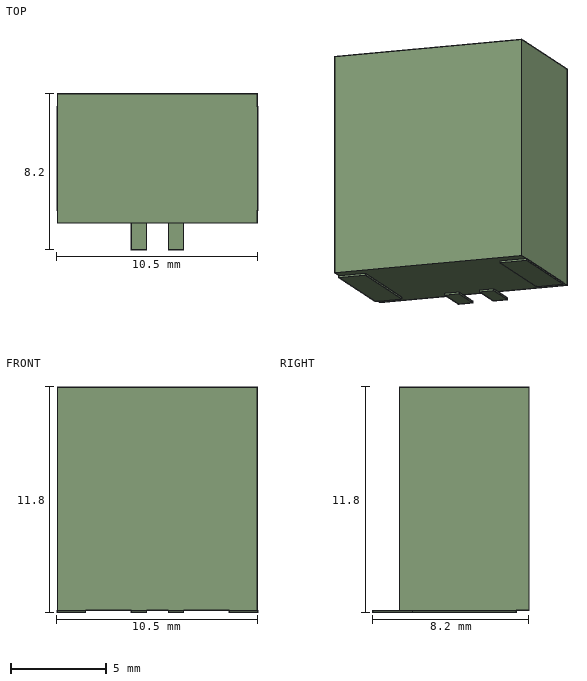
import cadquery as cq

overall_width = 10.53
overall_depth = 8.2
overall_height = 11.8

housing_width = 10.48
housing_depth = 6.8
foil_thickness = 0.1
housing_height = overall_height - foil_thickness

pad_width = 1.5
pad_depth = 5.45
pad_center_x = (overall_width - pad_width) / 2

lead_width = 0.8
lead_pitch = 1.95
lead_overhang = overall_depth - housing_depth
lead_engagement = (housing_depth - pad_depth) / 2
lead_length = lead_overhang + lead_engagement
lead_center_y = -housing_depth / 2 + lead_engagement - lead_length / 2


def make_block(width, depth, height, center_x, center_y, bottom_z):
    """Rectangular solid centred in X and Y, standing on bottom_z."""
    block = cq.Workplane("XY").box(width, depth, height, centered=(True, True, False))
    return block.translate((center_x, center_y, bottom_z)).val()


def make_housing():
    return make_block(housing_width, housing_depth, housing_height, 0, 0, foil_thickness)


def make_pad(side):
    return make_block(pad_width, pad_depth, foil_thickness, side * pad_center_x, 0, 0)


def make_lead(side):
    return make_block(lead_width, lead_length, foil_thickness, side * lead_pitch / 2, lead_center_y, 0)


sides = (-1, 1)
housing = make_housing()
pads = [make_pad(side) for side in sides]
leads = [make_lead(side) for side in sides]

result = cq.Compound.makeCompound([housing, *pads, *leads])